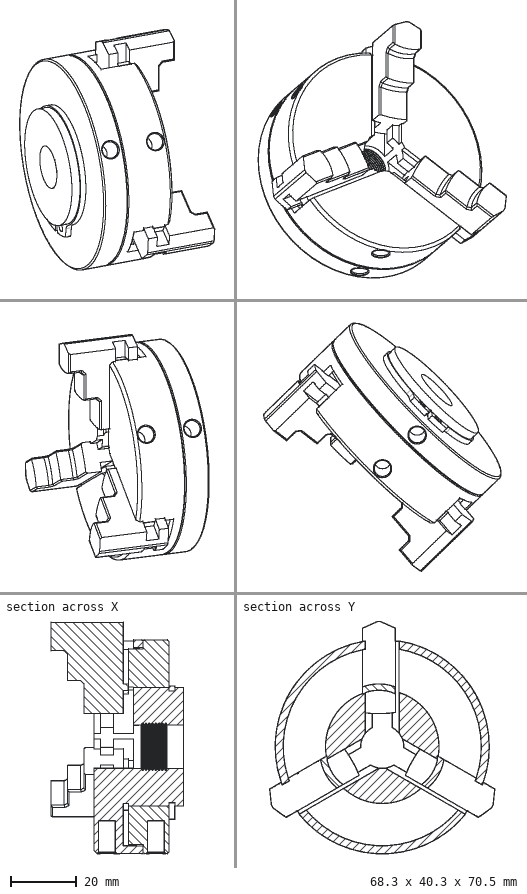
import cadquery as cq
import math


chuck_diameter = 65.0
jaw_turns = (0.0, 120.0, 240.0)
key_hole_turns = (60.0, 180.0, 300.0)

circlip_back_y = 2.65
circlip_thickness = 1.75
ring_back_y = circlip_back_y + circlip_thickness
jaw_tip_y = 40.25
jaw_back_y = jaw_tip_y - 22.0
rail_back_y = jaw_back_y + 3.0
rail_front_y = rail_back_y + 4.0
body_front_y = jaw_tip_y - 13.0
body_back_y = body_front_y - 15.0
spigot_front_y = body_back_y + 4.5

hub_diameter = 36.0
circlip_groove_diameter = 34.0
hub_relief_diameter = 34.5
bore_diameter = 13.04
thread_diameter = 14.15
thread_pitch = 1.0
thread_start_y = 5.0
thread_count = 8
thread_root_width = 0.25
thread_crest_width = 0.15

recess_diameter = 60.0
spigot_diameter = 59.6

body_front_chamfer = 1.0
ring_back_chamfer = 0.5
joint_chamfer = 0.3

slot_width = 10.2
rail_gap = 6.0
rail_end_radius = 32.0
slot_back_y = jaw_tip_y - 25.0

key_hole_diameter = 5.0
key_hole_chamfer = 0.3
key_hole_depth = 10.0
key_hole_setback = 4.0

jaw_base_width = 10.0
jaw_head_width = 9.5
jaw_web_width = 4.0
jaw_side_shifts = (-1.0, -1.0, 1.0)
jaw_top_radius = 37.985
jaw_roof_drop = 2.0
jaw_roof_flat = 1.0
jaw_step_radii = (29.0, 20.0, 10.0)
jaw_step_height = 5.0
jaw_arc_axis_radius = 41.5
jaw_step_relief = 1.0
jaw_chamfer = 0.5
tooth_arc_radius = 14.0
tooth_outer_radius = 19.1
tooth_thickness = 2.0

circlip_diameter = 37.0
ear_outer_radius = 22.05
ear_hole_diameter = 2.5
ear_hole_radius = 19.46
ear_hole_offset = 3.4
ear_gap_inner = 0.4
ear_gap_outer = 0.75
ear_root_offset = 7.65
ear_tip_offset = 6.9
ear_fillet = 2.0

chuck_radius = chuck_diameter / 2
edge_zone = 0.01
cut_reach = chuck_radius + 10.0


def cylinder(diameter, back_y, front_y):
    """Solid cylinder on the chuck axis between two stations."""
    disc = cq.Workplane("XZ", origin=(0, back_y, 0)).circle(diameter / 2)
    return disc.extrude(back_y - front_y)


def box(width, back_y, front_y, inner_radius, outer_radius):
    """Rectangular bar pointing up, centred on X = 0."""
    size = (width, front_y - back_y, outer_radius - inner_radius)
    bar = cq.Workplane("XY").box(*size, centered=(True, False, False))
    return bar.translate((0, back_y, inner_radius))


def turned(shape, turn):
    """Shape turned about the chuck axis."""
    return shape.rotate((0, 0, 0), (0, 1, 0), turn)


def key_hole(middle_y):
    """Blind radial hole with a chamfered mouth, pointing up."""
    hole_radius = key_hole_diameter / 2
    mouth_radius = hole_radius + key_hole_chamfer
    bottom = chuck_radius - key_hole_depth
    profile = [
        (0, bottom),
        (hole_radius, bottom),
        (hole_radius, chuck_radius - 2 * key_hole_chamfer),
        (mouth_radius, chuck_radius - key_hole_chamfer),
        (mouth_radius, cut_reach),
        (0, cut_reach),
    ]
    hole = cq.Workplane("XZ").polyline(profile).close().revolve(360, (0, 0), (0, 1))
    return hole.translate((0, middle_y, 0))


def thread_ring(start_y):
    """One V-shaped thread groove around the bore."""
    end_y = start_y + thread_pitch - thread_crest_width
    middle_y = (start_y + end_y) / 2
    bore_radius = bore_diameter / 2
    root_radius = thread_diameter / 2
    profile = [
        (0, start_y),
        (bore_radius, start_y),
        (root_radius, middle_y - thread_root_width / 2),
        (root_radius, middle_y + thread_root_width / 2),
        (bore_radius, end_y),
        (0, end_y),
    ]
    return cq.Workplane("XY").polyline(profile).close().revolve(360, (0, 0), (0, 1))


def jaw_slot():
    """T-shaped slot that leaves a guide rail on each side."""
    slot = box(slot_width, rail_front_y, body_front_y, 0, cut_reach)
    slot = slot.union(box(rail_gap, rail_back_y, rail_front_y, 0, cut_reach))
    slot = slot.union(box(slot_width, slot_back_y, rail_back_y, 0, cut_reach))
    return slot.union(box(slot_width, rail_back_y, rail_front_y, rail_end_radius, cut_reach))


def jaw_bar(width, back_y, front_y):
    """Bar with a roof-shaped outer end."""
    slope = 2 * jaw_roof_drop / (jaw_base_width - jaw_roof_flat)
    half_width = width / 2
    half_flat = jaw_roof_flat / 2
    eave_radius = jaw_top_radius - slope * (half_width - half_flat)
    section = [
        (-half_width, 0),
        (-half_width, eave_radius),
        (-half_flat, jaw_top_radius),
        (half_flat, jaw_top_radius),
        (half_width, eave_radius),
        (half_width, 0),
    ]
    plane = cq.Workplane("XZ", origin=(0, back_y, 0))
    return plane.polyline(section).close().extrude(back_y - front_y)


def jaw_steps():
    """Stepped round body whose flanks become the gripping faces of a jaw."""
    tip, middle, nose = (jaw_arc_axis_radius - radius for radius in jaw_step_radii)
    middle_top = jaw_tip_y - jaw_step_height
    nose_top = middle_top - jaw_step_height
    profile = [
        (0, jaw_tip_y),
        (tip, jaw_tip_y),
        (tip, middle_top + jaw_step_relief),
        (tip + jaw_step_relief, middle_top),
        (middle, middle_top),
        (middle, nose_top + jaw_step_relief),
        (middle + jaw_step_relief, nose_top),
        (nose, nose_top),
        (nose, jaw_back_y),
        (0, jaw_back_y),
    ]
    steps = cq.Workplane("XY").polyline(profile).close().revolve(360, (0, 0), (0, 1))
    return steps.translate((0, 0, jaw_arc_axis_radius))


def jaw_head():
    """Stepped front of a jaw with its side edges chamfered."""
    head = jaw_bar(jaw_head_width, rail_front_y, jaw_tip_y).intersect(jaw_steps())
    nose_top = jaw_tip_y - 2 * jaw_step_height
    eave_limit = jaw_top_radius - jaw_roof_drop - edge_zone
    for side in (-1, 1):
        flank_x = side * jaw_head_width / 2
        low = (flank_x - edge_zone, nose_top - edge_zone, 0)
        high = (flank_x + edge_zone, jaw_tip_y + edge_zone, eave_limit)
        head = head.edges(cq.selectors.BoxSelector(low, high)).chamfer(jaw_chamfer)
    return head


def jaw_tooth():
    """Curved tooth on the back of a jaw, reaching to the scroll face."""
    arc_centre_radius = tooth_outer_radius - tooth_arc_radius
    plane = cq.Workplane("XZ", origin=(0, spigot_front_y, arc_centre_radius))
    tooth = plane.circle(tooth_arc_radius).circle(tooth_arc_radius - tooth_thickness)
    tooth = tooth.extrude(spigot_front_y - jaw_back_y)
    return tooth.intersect(box(jaw_base_width, spigot_front_y, jaw_back_y, arc_centre_radius, cut_reach))


def make_jaw():
    """Jaw pointing up, centred on its slot."""
    shank = jaw_bar(jaw_base_width, jaw_back_y, rail_back_y)
    shank = shank.union(box(jaw_web_width, rail_back_y, rail_front_y, 0, cut_reach))
    shank = shank.intersect(jaw_bar(jaw_base_width, jaw_back_y, rail_front_y))
    shank = shank.intersect(jaw_steps())
    return shank.union(jaw_head()).union(jaw_tooth())


def make_body(jaws):
    """Front housing with its hub, slots and key holes."""
    body = cylinder(chuck_diameter, body_back_y, body_front_y)
    body = body.faces(">Y").chamfer(body_front_chamfer)
    body = body.faces("<Y").chamfer(joint_chamfer)
    body = body.cut(cylinder(recess_diameter, body_back_y, jaw_back_y))
    body = body.union(cylinder(hub_diameter, 0, spigot_front_y))
    body = body.union(cylinder(hub_relief_diameter, spigot_front_y, jaw_back_y))
    groove = cylinder(hub_diameter, circlip_back_y, ring_back_y)
    body = body.cut(groove.cut(cylinder(circlip_groove_diameter, circlip_back_y, ring_back_y)))
    body = body.cut(cylinder(bore_diameter, 0, body_front_y))
    for index in range(thread_count):
        body = body.cut(thread_ring(thread_start_y + index * thread_pitch))
    for turn in jaw_turns:
        body = body.cut(turned(jaw_slot(), turn))
    for turn in key_hole_turns:
        body = body.cut(turned(key_hole(body_front_y - key_hole_setback), turn))
    for jaw in jaws:
        body = body.cut(jaw)
    return body


def make_scroll_ring():
    """Ring that closes the back of the body, with its spigot inside the recess."""
    ring = cylinder(chuck_diameter, ring_back_y, body_back_y)
    ring = ring.faces("<Y").chamfer(ring_back_chamfer)
    ring = ring.faces(">Y").chamfer(joint_chamfer)
    ring = ring.union(cylinder(spigot_diameter, body_back_y, spigot_front_y))
    ring = ring.cut(cylinder(hub_diameter, ring_back_y, spigot_front_y))
    for turn in key_hole_turns:
        ring = ring.cut(turned(key_hole(ring_back_y + key_hole_setback), turn))
    return ring


def circlip_lug():
    """Block below the hub from which both ears of the circlip are made."""
    root_drop = math.sqrt((circlip_diameter / 2) ** 2 - ear_root_offset ** 2)
    tip_drop = math.sqrt(ear_outer_radius ** 2 - ear_tip_offset ** 2)
    return (
        cq.Workplane("XZ", origin=(0, ring_back_y, 0))
        .moveTo(-ear_root_offset, 0)
        .lineTo(-ear_root_offset, -root_drop)
        .lineTo(-ear_tip_offset, -tip_drop)
        .threePointArc((0, -ear_outer_radius), (ear_tip_offset, -tip_drop))
        .lineTo(ear_root_offset, -root_drop)
        .lineTo(ear_root_offset, 0)
        .close()
        .extrude(circlip_thickness)
    )


def circlip_gap():
    """Tapered opening between the two ears."""
    hub_drop = circlip_groove_diameter / 2
    outline = [
        (-ear_gap_inner, 0),
        (-ear_gap_inner, -hub_drop),
        (-ear_gap_outer, -ear_outer_radius),
        (ear_gap_outer, -ear_outer_radius),
        (ear_gap_inner, -hub_drop),
        (ear_gap_inner, 0),
    ]
    plane = cq.Workplane("XZ", origin=(0, ring_back_y, 0))
    return plane.polyline(outline).close().extrude(circlip_thickness)


def make_circlip():
    """Retaining ring in the hub groove, open between its two ears."""
    circlip = cylinder(circlip_diameter, circlip_back_y, ring_back_y).union(circlip_lug())
    root_z = -math.sqrt((circlip_diameter / 2) ** 2 - ear_root_offset ** 2)
    for side in (-1, 1):
        root_x = side * ear_root_offset
        low = (root_x - edge_zone, circlip_back_y, root_z - edge_zone)
        high = (root_x + edge_zone, ring_back_y, root_z + edge_zone)
        circlip = circlip.edges(cq.selectors.BoxSelector(low, high)).fillet(ear_fillet)
    circlip = circlip.cut(cylinder(circlip_groove_diameter, circlip_back_y, ring_back_y))
    circlip = circlip.cut(circlip_gap())
    hole = cylinder(ear_hole_diameter, circlip_back_y, ring_back_y)
    hole_z = -math.sqrt(ear_hole_radius ** 2 - ear_hole_offset ** 2)
    for side in (-1, 1):
        circlip = circlip.cut(hole.translate((side * ear_hole_offset, 0, hole_z)))
    return circlip


jaw = make_jaw()
jaws = [
    turned(jaw.translate((shift, 0, 0)), turn)
    for shift, turn in zip(jaw_side_shifts, jaw_turns)
]
body = make_body(jaws)
scroll_ring = make_scroll_ring()
circlip = make_circlip()

result = cq.Compound.makeCompound(
    [part.solids().val() for part in (body, scroll_ring, circlip, *jaws)]
)